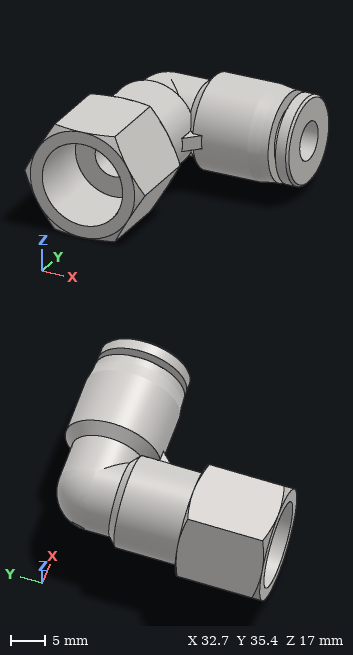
import cadquery as cq
import math


elbow_radius = 5.77
bore_radius = 3.0

socket_end = 28.05
hex_start = 15.0
hex_across_flats = 17.0
hex_bevel_angle = 30.0
sleeve_radius = 7.0
sleeve_cone_start = 3.9
sleeve_cone_end = 5.1
thread_mouth_radius = 6.55
thread_floor_radius = 6.23
thread_depth = 10.2

body_radius = 7.35
body_cone_start = 6.05
body_cone_end = body_cone_start + body_radius - elbow_radius
body_taper_start = 16.55
body_rim_start = 18.48
body_end = 19.72
body_rim_radius = 7.05
body_end_radius = 6.97
neck_radius = 4.92
collar_radius = 6.9
collar_start = 20.9
collar_bevel_start = 22.55
tube_end = 22.9
collar_end_radius = 6.55

gusset_leg = 16.43
gusset_thickness = 2.12


def turned_along_x(profile):
    """Revolve (distance, radius) points about the tube arm's axis."""
    points = [(0, 0)] + profile + [(profile[-1][0], 0)]
    return cq.Workplane("XY").polyline(points).close().revolve(360, (0, 0), (1, 0))


def turned_along_socket(profile):
    """Revolve (distance, radius) points about the socket arm's axis."""
    return turned_along_x(profile).rotate((0, 0, 0), (0, 0, 1), -90)


def make_tube_arm():
    return turned_along_x([
        (0, elbow_radius),
        (body_cone_start, elbow_radius),
        (body_cone_end, body_radius),
        (body_taper_start, body_radius),
        (body_rim_start, body_rim_radius),
        (body_end, body_end_radius),
        (body_end, neck_radius),
        (collar_start, neck_radius),
        (collar_start, collar_radius),
        (collar_bevel_start, collar_radius),
        (tube_end, collar_end_radius),
    ])


def make_sleeve():
    return turned_along_socket([
        (0, elbow_radius),
        (sleeve_cone_start, elbow_radius),
        (sleeve_cone_end, sleeve_radius),
        (socket_end, sleeve_radius),
    ])


def make_hex():
    """Hexagon with flats facing +Z and -Z, its corners bevelled at both ends."""
    flat_radius = hex_across_flats / 2
    corner_radius = flat_radius / math.cos(math.radians(30))
    bevel = (corner_radius - flat_radius) * math.tan(math.radians(hex_bevel_angle))
    prism = (
        cq.Workplane("XZ", origin=(0, -hex_start, 0))
        .polygon(6, 2 * corner_radius)
        .extrude(socket_end - hex_start)
    )
    envelope = turned_along_socket([
        (0, flat_radius),
        (hex_start, flat_radius),
        (hex_start + bevel, corner_radius),
        (socket_end - bevel, corner_radius),
        (socket_end, flat_radius),
    ])
    return prism.intersect(envelope)


def make_gusset():
    return (
        cq.Workplane("XY")
        .polyline([(0, 0), (gusset_leg, 0), (0, -gusset_leg)])
        .close()
        .extrude(gusset_thickness / 2, both=True)
    )


def make_passage():
    """Bore through both arms, rounded at the corner, with the tapered socket."""
    tube_bore = turned_along_x([(0, bore_radius), (tube_end, bore_radius)])
    thread_floor = socket_end - thread_depth
    socket_bore = turned_along_socket([
        (0, bore_radius),
        (thread_floor, bore_radius),
        (thread_floor, thread_floor_radius),
        (socket_end, thread_mouth_radius),
    ])
    corner = cq.Workplane("XY").sphere(bore_radius)
    return tube_bore.union(socket_bore).union(corner)


outside = (
    make_tube_arm()
    .union(make_sleeve())
    .union(cq.Workplane("XY").sphere(elbow_radius))
    .union(make_hex())
    .union(make_gusset())
)
result = outside.cut(make_passage())